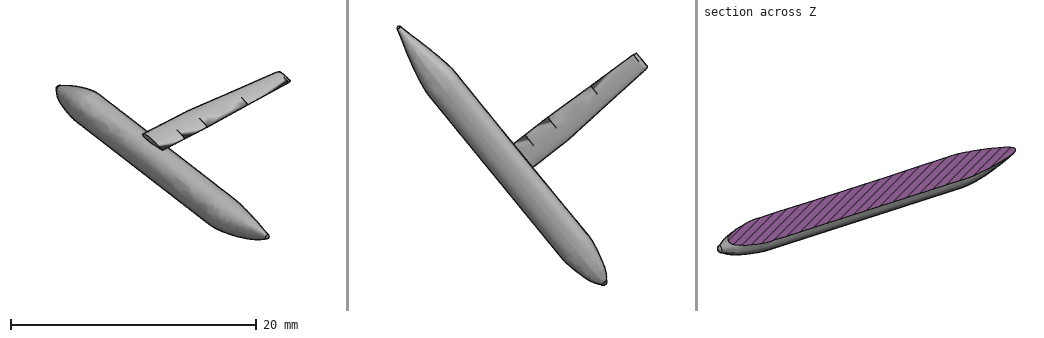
import cadquery as cq
import math

LENGTH = 27.17
BODY_START = 4.05
BODY_END = 20.92
BODY_HEIGHT = 2.7
BODY_HALF_WIDTH = 1.45
BODY_WIDEST_Z = 1.1
UPPER_FULLNESS = 0.6
LOWER_FULLNESS = 0.65
ROUND_FULLNESS = 4 / 3 * (math.sqrt(2) - 1)

NOSE_CAP_LENGTH = 0.25
NOSE_TIP_RADIUS = 0.33
NOSE_TIP_Z = 0.92
TAIL_CAP_LENGTH = 0.14
TAIL_TIP_RADIUS = 0.2
TAIL_TIP_Z = 2.28

NOSE_SECTIONS = [
    (0.82, 0.38, 1.55, 0.7, 0.92),
    (1.63, 0.2, 1.95, 1.0, 0.95),
    (2.72, 0.05, 2.4, 1.28, 1.03),
]
TAIL_SECTIONS = [
    (22.28, 0.14, 2.65, 1.35, 1.22),
    (23.9, 0.52, 2.64, 1.03, 1.5),
    (25.27, 1.0, 2.6, 0.68, 1.8),
    (26.35, 1.58, 2.55, 0.35, 2.06),
]

WING_LEADING_Z = 2.9
WING_TIP_Y = 13.75
WING_CAP_LENGTH = 0.27
WING_CAP_INSET = 0.08
WING_CAP_THINNING = 0.5
THICKNESS_RATIO = 0.19
CAMBER_RATIO = 0.015
CAMBER_POSITION = 0.4
TRAILING_DROP = 0.025
FOIL_STEPS = 12

WING_ROOT = (0.0, 10.98, 13.53)
WING_INNER = (2.4, 10.98, 13.53)
WING_TAPER_START = (4.75, 10.98, 13.53)
WING_OUTER = (9.13, 11.33, 13.4)
WING_TIP = (WING_TIP_Y - WING_CAP_LENGTH, 11.65, 13.29)


def body_section(x, bottom, top, half_width, widest_z, upper=UPPER_FULLNESS, lower=LOWER_FULLNESS):
    """Closed egg-shaped section made of four Bezier quarters."""
    edges = []
    for side, start, fullness in ((1, top, upper), (1, bottom, lower), (-1, bottom, lower), (-1, top, upper)):
        width = side * half_width
        quarter = [
            cq.Vector(x, 0, start),
            cq.Vector(x, fullness * width, start),
            cq.Vector(x, width, widest_z + fullness * (start - widest_z)),
            cq.Vector(x, width, widest_z),
        ]
        edges.append(cq.Edge.makeBezier(quarter))
    return cq.Wire.assembleEdges(edges)


def round_section(x, z, radius):
    return body_section(x, z - radius, z + radius, radius, z, ROUND_FULLNESS, ROUND_FULLNESS)


def end_cap(x, z, radius, depth):
    """Rounded cap along X; the sign of depth gives its direction."""
    cap = (
        cq.Workplane("XZ")
        .moveTo(x, z)
        .lineTo(x, z + radius)
        .threePointArc((x + depth * math.sqrt(0.5), z + radius * math.sqrt(0.5)), (x + depth, z))
        .close()
        .revolve(360, (x, z, 0), (x + 0.27, z, 0))
    )
    return cap.val()


def make_fuselage():
    main_start = body_section(BODY_START, 0, BODY_HEIGHT, BODY_HALF_WIDTH, BODY_WIDEST_Z)
    main_end = main_start.translate(cq.Vector(BODY_END - BODY_START, 0, 0))
    nose_x = NOSE_CAP_LENGTH
    tail_x = LENGTH - TAIL_CAP_LENGTH
    nose_wires = [round_section(nose_x, NOSE_TIP_Z, NOSE_TIP_RADIUS)]
    nose_wires += [body_section(*section) for section in NOSE_SECTIONS]
    nose_wires.append(main_start)
    tail_wires = [main_end]
    tail_wires += [body_section(*section) for section in TAIL_SECTIONS]
    tail_wires.append(round_section(tail_x, TAIL_TIP_Z, TAIL_TIP_RADIUS))

    fuselage = cq.Workplane(cq.Solid.makeLoft([main_start, main_end], True))
    for wires in (nose_wires, tail_wires):
        fuselage = fuselage.union(cq.Workplane(cq.Solid.makeLoft(wires)))
    fuselage = fuselage.union(cq.Workplane(end_cap(nose_x, NOSE_TIP_Z, NOSE_TIP_RADIUS, -NOSE_CAP_LENGTH)))
    return fuselage.union(cq.Workplane(end_cap(tail_x, TAIL_TIP_Z, TAIL_TIP_RADIUS, TAIL_CAP_LENGTH)))


def half_thickness(t):
    """Four-digit NACA half thickness per unit chord, closed at the trailing edge."""
    shape = 0.2969 * math.sqrt(t) - 0.126 * t - 0.3516 * t**2 + 0.2843 * t**3 - 0.1036 * t**4
    return 5 * THICKNESS_RATIO * shape


def camber(t):
    if t < CAMBER_POSITION:
        return CAMBER_RATIO * (2 * CAMBER_POSITION * t - t**2) / CAMBER_POSITION**2
    rear = 1 - 2 * CAMBER_POSITION + 2 * CAMBER_POSITION * t - t**2
    return CAMBER_RATIO * rear / (1 - CAMBER_POSITION) ** 2


def foil_section(y, leading_x, trailing_x, thinning=1.0):
    """Closed airfoil wire; points are cosine spaced from trailing to leading edge and back."""
    chord = trailing_x - leading_x
    points = []
    for i in range(2 * FOIL_STEPS):
        angle = math.pi * i / FOIL_STEPS
        t = (1 + math.cos(angle)) / 2
        side = 1 if i < FOIL_STEPS else -1
        height = camber(t) - TRAILING_DROP * t + side * thinning * half_thickness(t)
        points.append(cq.Vector(leading_x + chord * t, y, WING_LEADING_Z + chord * height))
    points.append(points[0])
    return cq.Wire.assembleEdges([cq.Edge.makeSpline(points)])


def make_wing():
    stations = [WING_ROOT, WING_INNER, WING_TAPER_START, WING_OUTER, WING_TIP]
    sections = [foil_section(*station) for station in stations]
    tip_leading = WING_TIP[1] + WING_CAP_INSET
    tip_trailing = WING_TIP[2] - WING_CAP_INSET
    sections.append(foil_section(WING_TIP_Y, tip_leading, tip_trailing, WING_CAP_THINNING))
    return cq.Workplane(cq.Solid.makeLoft(sections, True))


result = make_fuselage().union(make_wing())